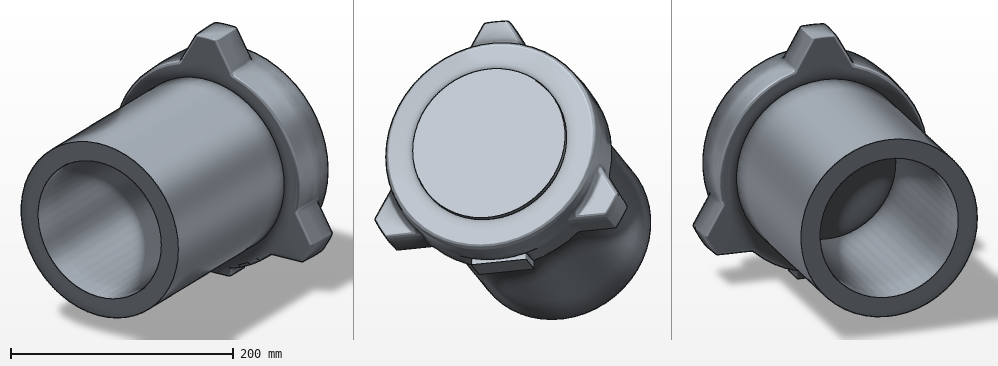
import cadquery as cq
import math

total_length = 234.57
pipe_radius = 168.28 / 2
bore_radius = 131.78 / 2
hub_radius = 71.4

nut_back = 5.3
nut_crown = 32.0
nut_front = 57.9
bore_floor = 63.2

nut_crown_radius = 100.0
nut_edge_radius = 99.1
nut_back_fillet = 4.0
front_fillet = 3.175

wing_count = 3
wing_tip_radius = 125.8
wing_tip_half_width = 11.9
wing_flank_angle = 30.0
wing_draft_angle = 1.6
wing_back = 22.4
wing_foot_height = 60.0
wing_root_fillet = 6.0
wing_tip_fillet = 1.5
wing_back_fillet = 3.0

pad_width = 51.6
pad_bottom = -102.8
pad_top = -70.0
pad_fillet = 1.5

edge_tolerance = 1.0
tip_depth = 3.0
wing_tip_reach = wing_tip_radius - tip_depth


def section_at(distance):
    """XZ sketch plane at a distance from the closed back end; its normal points to -Y."""
    return cq.Workplane("XZ").workplane(offset=distance)


def make_cylinder(radius, start, end):
    return section_at(start).circle(radius).extrude(end - start)


def make_nut():
    profile = [
        (0, -nut_back),
        (nut_edge_radius, -nut_back),
        (nut_crown_radius, -nut_crown),
        (nut_edge_radius, -nut_front),
        (0, -nut_front),
    ]
    nut = cq.Workplane("XY").polyline(profile).close().revolve(360, (0, 0, 0), (0, 1, 0))
    return nut.faces(">Y").edges().fillet(nut_back_fillet)


def make_wing(angle):
    corner_height = math.sqrt(wing_tip_radius**2 - wing_tip_half_width**2)
    flank_height = corner_height - wing_foot_height
    foot_half_width = wing_tip_half_width + flank_height * math.tan(math.radians(wing_flank_angle))

    def drafted_half(end):
        """Wing from the crown to the given distance, narrowing by the draft angle."""
        return (
            section_at(nut_crown)
            .moveTo(-foot_half_width, wing_foot_height)
            .lineTo(-wing_tip_half_width, corner_height)
            .threePointArc((0, wing_tip_radius), (wing_tip_half_width, corner_height))
            .lineTo(foot_half_width, wing_foot_height)
            .close()
            .extrude(end - nut_crown, taper=wing_draft_angle)
        )

    wing = drafted_half(nut_front).union(drafted_half(wing_back))
    wing = wing.faces(">Y").edges("not |X").edges("not %CIRCLE").fillet(wing_back_fillet)
    return wing.rotate((0, 0, 0), (0, 1, 0), angle)


def lies_on_crown(edge):
    """True for an edge in the plane of the nut's crown."""
    ends = (edge.startPoint(), edge.endPoint())
    return all(abs(end.y + nut_crown) < edge_tolerance for end in ends)


def is_wing_root(edge):
    """True for an edge where the side or back of a wing meets the round of the nut."""
    start = edge.startPoint()
    end = edge.endPoint()
    reach = max(math.hypot(start.x, start.z), math.hypot(end.x, end.z))
    rear = max(start.y, end.y)
    on_nut = nut_edge_radius - edge_tolerance < reach < nut_crown_radius + edge_tolerance
    on_front_face = rear < edge_tolerance - nut_front
    behind_wing = rear > edge_tolerance - wing_back
    return on_nut and not lies_on_crown(edge) and not on_front_face and not behind_wing


def fillet_wing_roots(body):
    roots = [edge for edge in body.edges().vals() if is_wing_root(edge)]
    return body.newObject(roots).fillet(wing_root_fillet)


def lowest_reach(edge):
    """Smaller distance of the two ends of an edge from the pipe axis."""
    ends = (edge.startPoint(), edge.endPoint())
    return min(math.hypot(end.x, end.z) for end in ends)


def fillet_front_outline(body):
    """Round the front edges of the nut and the wing flanks, leaving the wing tips sharp."""
    front_edges = body.faces("<Y").edges().vals()
    outline = [edge for edge in front_edges if lowest_reach(edge) < wing_tip_reach]
    return body.newObject(outline).fillet(front_fillet)


def fillet_wing_tips(body):
    """Round the border of each wing tip."""
    tip_edges = [edge for edge in body.edges().vals() if lowest_reach(edge) > wing_tip_reach]
    border = [edge for edge in tip_edges if not lies_on_crown(edge)]
    return body.newObject(border).fillet(wing_tip_fillet)


def make_pad():
    pad = (
        section_at(nut_crown)
        .center(0, (pad_bottom + pad_top) / 2)
        .rect(pad_width, pad_top - pad_bottom)
        .extrude(nut_front - nut_crown)
    )
    return pad.edges("not >Z").edges("not |X or <Z").fillet(pad_fillet)


nut = make_nut()
for index in range(wing_count):
    nut = nut.union(make_wing(index * 360 / wing_count))
nut = fillet_wing_roots(nut)
nut = fillet_front_outline(nut)
nut = fillet_wing_tips(nut)

hub = make_cylinder(hub_radius, 0, nut_crown)
pipe = make_cylinder(pipe_radius, nut_crown, total_length)
bore = make_cylinder(bore_radius, bore_floor, total_length)
result = nut.union(make_pad()).union(hub).union(pipe).cut(bore)